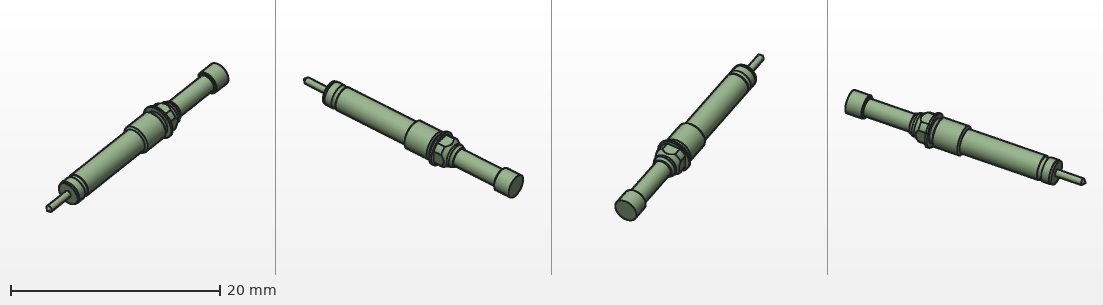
import cadquery as cq
import math

total_length = 25.15

pin_radius = 0.35
pin_length = 3.12
tip_length = pin_radius

barrel_radius = 2.5 / 2
barrel_length = 9.75
barrel_end_radius = 2.4 / 2
barrel_end_step = 0.23
end_band_length = 1.05
groove_radius = 1.1
groove_front_length = 0.28
groove_rear_length = 0.18

sleeve_radius = 3.0 / 2
sleeve_length = 2.92
sleeve_chamfer = 0.15

neck_length = 0.35
flare_radius = 2.55 / 2
flare_length = 0.13
washer_radius = 3.5 / 2
washer_thickness = 0.23

nut_radius = 1.5
nut_length = 0.88
nut_across_flats = 2.67
nut_cone_angle = 30.0
collar_radius = 2.4 / 2
collar_length = 0.25
lip_radius = 1.03
lip_sweep_length = 0.3
lip_land_length = 0.05

shank_radius = 0.9
head_radius = 2.4 / 2
head_length = 1.8
head_chamfer = 0.1

barrel_start = pin_length
band_end = barrel_start + end_band_length
groove_bottom = band_end + groove_front_length
groove_end = groove_bottom + groove_rear_length
barrel_end = barrel_start + barrel_length
sleeve_end = barrel_end + sleeve_length
washer_start = sleeve_end + neck_length
nut_start = washer_start + washer_thickness
nut_cone_start = nut_start + nut_length
nut_cone_length = (nut_radius - collar_radius) / math.tan(math.radians(nut_cone_angle))
collar_start = nut_cone_start + nut_cone_length
collar_end = collar_start + collar_length
lip_start = collar_end + lip_sweep_length
shank_start = lip_start + lip_land_length
head_start = total_length - head_length


def spun(closed_outline):
    """Turn a closed outline, drawn as radius along X and height along Y, about the Y axis."""
    return closed_outline.revolve(360, (0, 0, 0), (0, 1, 0))


def revolved(outline):
    """Solid of revolution about Y from (radius, Y) points starting and ending on the axis."""
    return spun(cq.Workplane("XY").polyline(outline).close())


def sweep_radius(length, rise):
    """Radius of an arc that starts along Y and rises by the given amount over the given length."""
    return (length**2 + rise**2) / (2 * rise)


def pin_and_barrel():
    return revolved([
        (0, 0),
        (pin_radius, tip_length),
        (pin_radius, barrel_start),
        (barrel_end_radius, barrel_start),
        (barrel_end_radius, barrel_start + barrel_end_step),
        (barrel_radius, barrel_start + barrel_end_step),
        (barrel_radius, washer_start - flare_length),
        (flare_radius, washer_start),
        (0, washer_start),
    ])


def end_groove():
    """Ring that is cut from the barrel: an arc rising forwards to the end band, and a straight rear wall."""
    arc_radius = sweep_radius(groove_front_length, barrel_radius - groove_radius)
    arc_rise = arc_radius - math.sqrt(arc_radius**2 - groove_rear_length**2)
    outline = (
        cq.Workplane("XY")
        .moveTo(barrel_radius, band_end)
        .threePointArc((groove_radius, groove_bottom), (groove_radius + arc_rise, groove_end))
        .lineTo(barrel_radius, groove_end)
        .close()
    )
    return spun(outline)


def sleeve():
    return revolved([
        (0, barrel_end),
        (barrel_radius, barrel_end),
        (sleeve_radius, barrel_end + sleeve_chamfer),
        (sleeve_radius, sleeve_end - sleeve_chamfer),
        (barrel_radius, sleeve_end),
        (0, sleeve_end),
    ])


def washer():
    return revolved([
        (0, washer_start),
        (washer_radius, washer_start),
        (washer_radius, nut_start),
        (0, nut_start),
    ])


def nut():
    """Round nut with a conical shoulder and a collar, trimmed to four wrench flats facing X and Z."""
    lip_arc_radius = sweep_radius(lip_sweep_length, collar_radius - lip_radius)
    outline = (
        cq.Workplane("XY")
        .moveTo(0, nut_start)
        .lineTo(nut_radius, nut_start)
        .lineTo(nut_radius, nut_cone_start)
        .lineTo(collar_radius, collar_start)
        .lineTo(collar_radius, collar_end)
        .radiusArc((lip_radius, lip_start), lip_arc_radius)
        .lineTo(lip_radius, shank_start)
        .lineTo(0, shank_start)
        .close()
    )
    flats = cq.Workplane("XY").box(nut_across_flats, 2 * total_length, nut_across_flats)
    return spun(outline).intersect(flats)


def shank_and_head():
    return revolved([
        (0, shank_start),
        (shank_radius, shank_start),
        (shank_radius, head_start),
        (head_radius - head_chamfer, head_start),
        (head_radius, head_start + head_chamfer),
        (head_radius, total_length),
        (0, total_length),
    ])


result = (
    pin_and_barrel()
    .cut(end_groove())
    .union(sleeve())
    .union(washer())
    .union(nut())
    .union(shank_and_head())
)